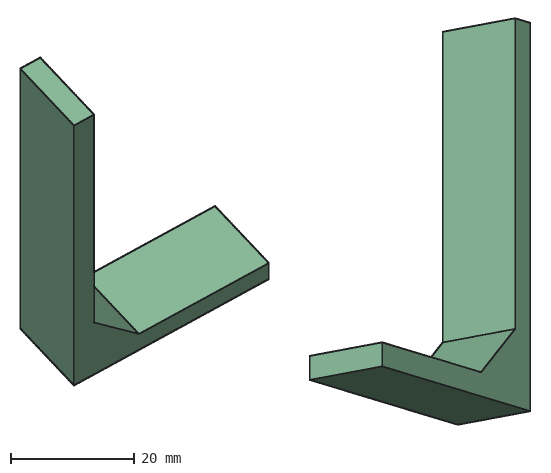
import cadquery as cq

width = 15.0
foot_length = 39.0
height = 65.0
thickness = 4.0
gusset_leg = 9.0

gusset_end = thickness + gusset_leg

profile = [
    (0, 0),
    (foot_length, 0),
    (foot_length, thickness),
    (gusset_end, thickness),
    (thickness, gusset_end),
    (thickness, height),
    (0, height),
]

result = cq.Workplane("YZ").polyline(profile).close().extrude(width)